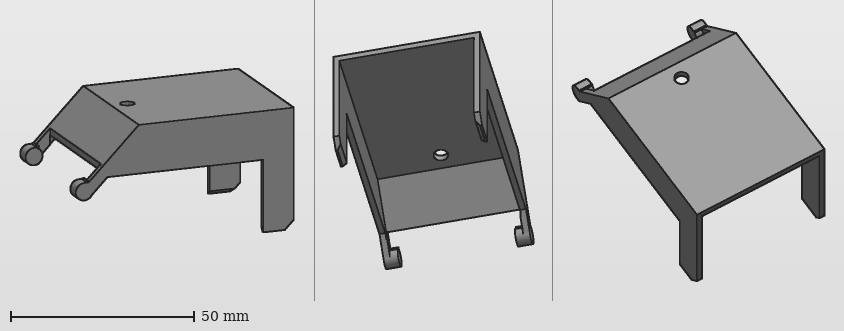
import cadquery as cq

width = 41.0
length = 64.0
height = 34.5

wall = 1.65
roof = 2.0
slope_start_y = 18.5
side_depth = 13.9
hole_diameter = 4.0
hole_y = 23.3

leg_length = 8.95
leg_corner_chamfer = 2.7
leg_inner_chamfer = 1.1

arm_width = 1.85
arm_drop = 4.7
notch_y = 8.05
pin_radius = 2.5
pin_length = 4.1
pin_y = pin_radius
pin_z = -17.3
facet_top_y = 4.0
facet_bottom_y = 3.3
pin_top_z = pin_z + pin_radius

half_width = width / 2


def slope_z(y):
    """Height of the 45 degree front slope at y."""
    return y - slope_start_y


def prism(points, x_start, x_length):
    """Extrude a (y, z) outline along X from x_start."""
    return cq.Workplane("YZ", origin=(x_start, 0, 0)).polyline(points).close().extrude(x_length)


def make_body():
    """Full-width solid with the side outline of the cover, legs and arms."""
    arm_corner_y = slope_start_y - side_depth + arm_drop
    arm_end_y = (pin_y + pin_z + slope_start_y + arm_drop) / 2
    arm_end_z = slope_z(arm_end_y) - arm_drop
    outline = [
        (length, 0),
        (slope_start_y, 0),
        (facet_top_y, slope_z(facet_top_y)),
        (facet_bottom_y, pin_top_z),
        (pin_y, pin_top_z),
        (pin_y, pin_z),
        (arm_end_y, arm_end_z),
        (arm_corner_y, -side_depth),
        (length - leg_length, -side_depth),
        (length - leg_length, -height),
        (length - leg_corner_chamfer, -height),
        (length, -height + leg_corner_chamfer),
    ]
    return prism(outline, -half_width, width)


def make_cavity():
    """Space under the roof and front slope, open at the rear and below."""
    outline = [
        (length, -roof),
        (slope_start_y, -roof),
        (notch_y, slope_z(notch_y) - roof),
        (notch_y, -height),
        (length, -height),
    ]
    return prism(outline, -half_width + wall, width - 2 * wall)


def make_notch():
    """Gap between the two hinge arms."""
    notch_width = width - 2 * arm_width
    outline = [
        (0, 0),
        (notch_y, 0),
        (notch_y, -height),
        (0, -height),
    ]
    return prism(outline, -notch_width / 2, notch_width)


def make_pin():
    """Left hinge pin with a flat and a facet on top that run back to the slope."""
    pin = cq.Workplane("YZ", origin=(-half_width, 0, 0)).center(pin_y, pin_z).circle(pin_radius)
    filler = [
        (pin_y, pin_z),
        (pin_y, pin_top_z),
        (facet_bottom_y, pin_top_z),
        (facet_top_y, slope_z(facet_top_y)),
    ]
    return pin.extrude(pin_length).union(prism(filler, -half_width, pin_length))


def make_leg_bevel():
    """Wedge that bevels the inner bottom edge of the left leg."""
    inner_x = -half_width + wall
    outline = [
        (inner_x, -height),
        (inner_x - leg_inner_chamfer, -height),
        (inner_x, -height + leg_inner_chamfer),
    ]
    wedge = cq.Workplane("XZ", origin=(0, length, 0)).polyline(outline).close()
    return wedge.extrude(leg_length)


result = make_body().cut(make_cavity()).cut(make_notch())

pin = make_pin()
leg_bevel = make_leg_bevel()
result = result.union(pin).union(pin.mirror("YZ"))
result = result.cut(leg_bevel).cut(leg_bevel.mirror("YZ"))

hole = cq.Workplane("XY").center(0, hole_y).circle(hole_diameter / 2).extrude(-roof)
result = result.cut(hole)